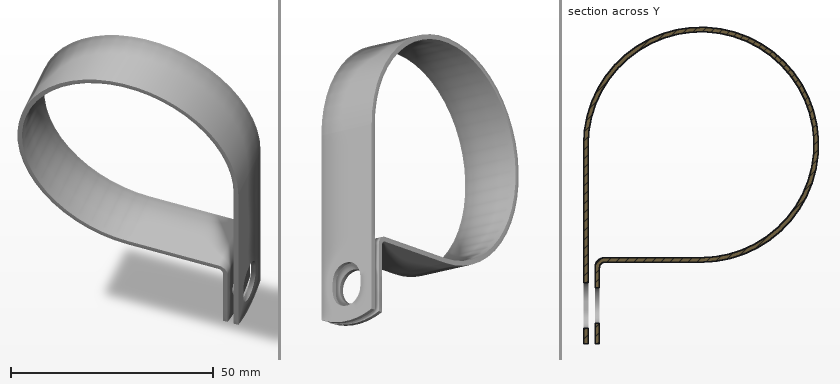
import cadquery as cq
import math

strap_thickness = 1.22
strap_width = 15.88

loop_outer_radius = 28.995
loop_inner_radius = loop_outer_radius - strap_thickness

overall_height = 78.12
leg_gap = 1.6
leg_tip_z = loop_outer_radius - overall_height
outer_leg_outside_x = loop_outer_radius
outer_leg_inside_x = loop_inner_radius
inner_leg_outside_x = outer_leg_inside_x - leg_gap
inner_leg_inside_x = inner_leg_outside_x - strap_thickness

bend_inner_radius = strap_thickness
bend_outer_radius = bend_inner_radius + strap_thickness
bend_center_x = inner_leg_outside_x - bend_outer_radius
bend_center_z = -loop_inner_radius - bend_outer_radius

tip_radius = 19.05
half_width = strap_width / 2
tip_rise = tip_radius - math.sqrt(tip_radius**2 - half_width**2)

hole_diameter = 8.7
slot_length = 11.1
opening_to_tip = 9.5
opening_z = leg_tip_z + opening_to_tip
gap_middle_x = outer_leg_inside_x - leg_gap / 2
opening_cut_depth = strap_thickness + leg_gap


def point_on_circle(center_x, center_z, radius, angle_degrees):
    """Point of a circle in the XZ plane, the angle measured from +X towards +Z."""
    angle = math.radians(angle_degrees)
    return (center_x + radius * math.cos(angle), center_z + radius * math.sin(angle))


def make_strap():
    """Bent strip: outer leg, three-quarter loop, flat, bend and inner leg."""
    profile = (
        cq.Workplane("XZ")
        .moveTo(outer_leg_outside_x, leg_tip_z)
        .lineTo(outer_leg_outside_x, 0)
        .threePointArc(point_on_circle(0, 0, loop_outer_radius, 135), (0, -loop_outer_radius))
        .lineTo(bend_center_x, -loop_outer_radius)
        .threePointArc(
            point_on_circle(bend_center_x, bend_center_z, bend_inner_radius, 45),
            (inner_leg_inside_x, bend_center_z),
        )
        .lineTo(inner_leg_inside_x, leg_tip_z)
        .lineTo(inner_leg_outside_x, leg_tip_z)
        .lineTo(inner_leg_outside_x, bend_center_z)
        .threePointArc(
            point_on_circle(bend_center_x, bend_center_z, bend_outer_radius, 45),
            (bend_center_x, -loop_inner_radius),
        )
        .lineTo(0, -loop_inner_radius)
        .threePointArc(point_on_circle(0, 0, loop_inner_radius, 135), (outer_leg_inside_x, 0))
        .lineTo(outer_leg_inside_x, leg_tip_z)
        .close()
    )
    return profile.extrude(half_width, both=True)


def make_tip_envelope():
    """Block around the whole strap whose underside is rounded like the leg tips."""
    shoulder_z = leg_tip_z + tip_rise
    return (
        cq.Workplane("YZ")
        .moveTo(-half_width, loop_outer_radius)
        .lineTo(-half_width, shoulder_z)
        .threePointArc((0, leg_tip_z), (half_width, shoulder_z))
        .lineTo(half_width, loop_outer_radius)
        .close()
        .extrude(loop_outer_radius, both=True)
    )


def make_bolt_hole():
    """Cylinder running from the middle of the gap through the inner leg."""
    return (
        cq.Workplane("YZ", origin=(gap_middle_x, 0, opening_z))
        .circle(hole_diameter / 2)
        .extrude(-opening_cut_depth)
    )


def make_adjustment_slot():
    """Slot running from the middle of the gap through the outer leg, long along Z."""
    return (
        cq.Workplane("YZ", origin=(gap_middle_x, 0, opening_z))
        .slot2D(slot_length, hole_diameter, 90)
        .extrude(opening_cut_depth)
    )


strap = make_strap().intersect(make_tip_envelope())
result = strap.cut(make_bolt_hole()).cut(make_adjustment_slot())